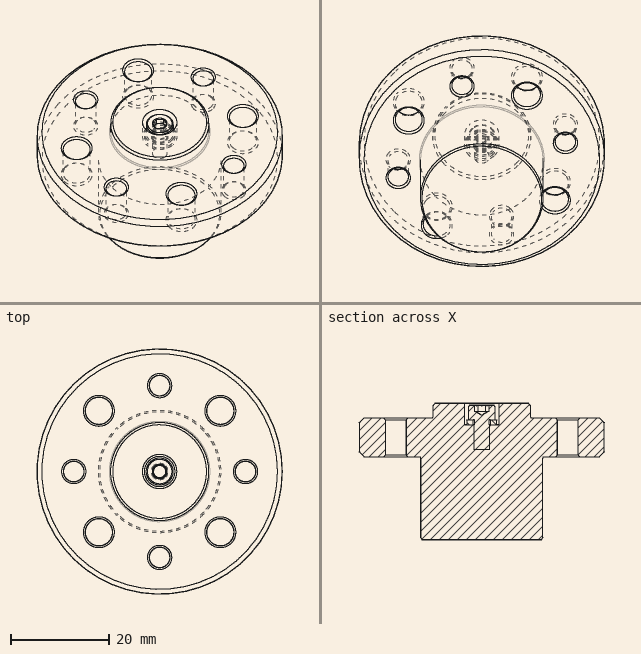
import cadquery as cq
import math

flange_diameter = 50.0
flange_thickness = 8.0
flange_chamfer = 1.0
boss_diameter = 20.0
boss_height = 3.0
boss_chamfer = 0.45
barrel_diameter = 25.0
barrel_length = 16.9
barrel_chamfer_width = 0.3
barrel_chamfer_height = 0.5
root_fillet = 0.25

pitch_radius = 17.5
holes_per_set = 4
small_hole_diameter = 4.15
large_hole_diameter = 5.5
hole_chamfer = 0.4

head_diameter = 5.5
head_height = 3.0
head_chamfer = 0.25
shank_diameter = 3.0
shank_length = 6.0
socket_across_flats = 2.5
socket_corner_diameter = socket_across_flats / math.cos(math.pi / 6)
socket_mouth_diameter = 3.0
socket_mouth_depth = 0.15
socket_depth = 1.3
socket_cone_depth = 0.75

washer_diameter = 6.2
washer_bore = 3.4
washer_thickness = 1.0

counterbore_diameter = 7.0
head_recess = 0.4
boss_top = flange_thickness + boss_height
head_top = boss_top - head_recess
head_seat = head_top - head_height
counterbore_floor = head_seat - washer_thickness
shank_end = head_seat - shank_length


def cylinder(diameter, bottom, height):
    return cq.Workplane("XY").workplane(offset=bottom).circle(diameter / 2).extrude(height)


def cone(bottom_diameter, top_diameter, bottom, height):
    return cq.Workplane(
        cq.Solid.makeCone(bottom_diameter / 2, top_diameter / 2, height, pnt=cq.Vector(0, 0, bottom))
    )


def make_housing_blank():
    flange_radius = flange_diameter / 2
    boss_radius = boss_diameter / 2
    barrel_radius = barrel_diameter / 2
    arc_offset = root_fillet * (1 - math.sqrt(0.5))
    profile = (
        cq.Workplane("XZ")
        .moveTo(0, -barrel_length)
        .lineTo(barrel_radius - barrel_chamfer_width, -barrel_length)
        .lineTo(barrel_radius, -barrel_length + barrel_chamfer_height)
        .lineTo(barrel_radius, -root_fillet)
        .threePointArc((barrel_radius + arc_offset, -arc_offset), (barrel_radius + root_fillet, 0))
        .lineTo(flange_radius - flange_chamfer, 0)
        .lineTo(flange_radius, flange_chamfer)
        .lineTo(flange_radius, flange_thickness - flange_chamfer)
        .lineTo(flange_radius - flange_chamfer, flange_thickness)
        .lineTo(boss_radius + root_fillet, flange_thickness)
        .threePointArc(
            (boss_radius + arc_offset, flange_thickness + arc_offset),
            (boss_radius, flange_thickness + root_fillet),
        )
        .lineTo(boss_radius, boss_top - boss_chamfer)
        .lineTo(boss_radius - boss_chamfer, boss_top)
        .lineTo(0, boss_top)
        .close()
    )
    return profile.revolve(360, (0, 0, 0), (0, 1, 0))


def make_flange_hole_cutter(diameter):
    mouth_diameter = diameter + 2 * hole_chamfer
    bore = cylinder(diameter, 0, flange_thickness)
    top_mouth = cone(diameter, mouth_diameter, flange_thickness - hole_chamfer, hole_chamfer)
    bottom_mouth = cone(mouth_diameter, diameter, 0, hole_chamfer)
    return bore.union(top_mouth).union(bottom_mouth).translate((pitch_radius, 0, 0))


def make_housing():
    body = make_housing_blank()
    step = 360 / holes_per_set
    for diameter, start_angle in ((small_hole_diameter, 0), (large_hole_diameter, step / 2)):
        cutter = make_flange_hole_cutter(diameter)
        for index in range(holes_per_set):
            body = body.cut(cutter.rotate((0, 0, 0), (0, 0, 1), start_angle + index * step))
    body = body.cut(cylinder(counterbore_diameter, counterbore_floor, boss_top - counterbore_floor))
    return body.cut(cylinder(shank_diameter, shank_end, counterbore_floor - shank_end))


def make_washer():
    ring = cylinder(washer_diameter, counterbore_floor, washer_thickness)
    return ring.cut(cylinder(washer_bore, counterbore_floor, washer_thickness))


def make_screw():
    head = cylinder(head_diameter, head_seat, head_height).faces(">Z").edges().chamfer(head_chamfer)
    shank = cylinder(shank_diameter, shank_end, shank_length)
    socket_floor = head_top - socket_depth
    socket = (
        cq.Workplane("XY")
        .workplane(offset=socket_floor)
        .polygon(6, socket_corner_diameter)
        .extrude(socket_depth)
        .rotate((0, 0, 0), (0, 0, 1), 30)
    )
    mouth = cone(socket_across_flats, socket_mouth_diameter, head_top - socket_mouth_depth, socket_mouth_depth)
    drill_point = cone(0, socket_across_flats, socket_floor - socket_cone_depth, socket_cone_depth)
    return head.union(shank).cut(socket).cut(mouth).cut(drill_point)


housing = make_housing()
washer = make_washer()
screw = make_screw()

result = cq.Compound.makeCompound([housing.val(), washer.val(), screw.val()])